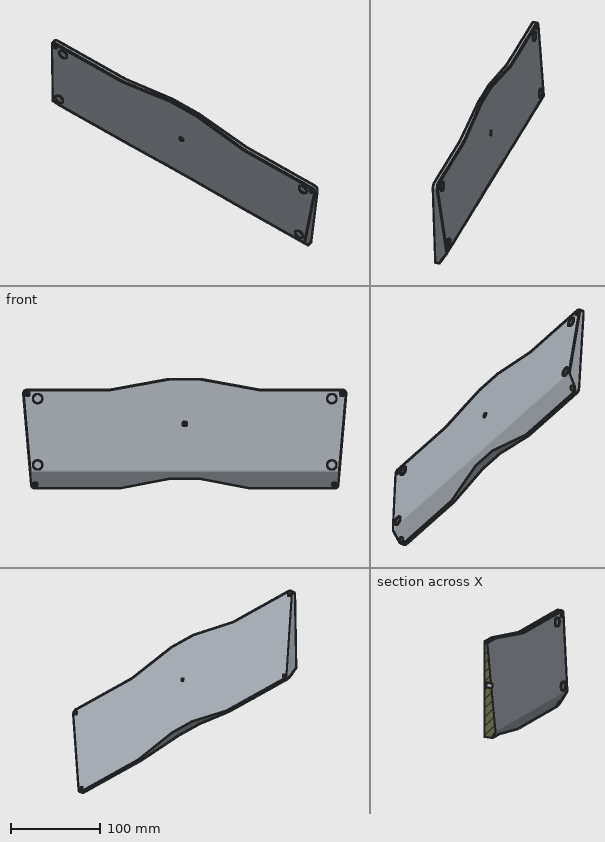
import cadquery as cq
import math

LENGTH = 362.5
DEPTH = 14.5
HEIGHT = 123.0

SIDE_TOP_Z = 111.0
SIDE_LEAN = 5.0
TOP_FLAT_HALF = 18.0
TOP_SHOULDER_X = 83.8
ARCH_HEIGHT = 11.0
ARCH_FLAT_HALF = 16.7
ARCH_FOOT_X = 73.3
CORNER_RADIUS = 5.0
SHOULDER_RADIUS = 9.0

UPPER_CORNER_ANGLE = math.radians(90 - SIDE_LEAN)
TOP_HALF_LENGTH = LENGTH / 2 + CORNER_RADIUS * (1 / math.tan(UPPER_CORNER_ANGLE / 2) - 1)
BOTTOM_HALF_LENGTH = TOP_HALF_LENGTH - SIDE_TOP_Z * math.tan(math.radians(SIDE_LEAN))

RIDGE_Z = 19.0
SHARP_RIDGE_Y = -0.07
TOP_THICKNESS = 4.0
BOTTOM_THICKNESS = 3.5
FRONT_SLOPE = (DEPTH - TOP_THICKNESS - SHARP_RIDGE_Y) / (HEIGHT - RIDGE_Z)

EDGE_BEVEL = 0.8

FOOT_DIAMETER = 10.5
FOOT_RECESS = 0.7
FOOT_X = 165.0
FOOT_Z = (26.5, 101.0)

SCREW_DIAMETER = 3.0
HEAD_DIAMETER = 5.0
HEAD_SEAT = 1.8
UPPER_SCREWS = (176.5, 106.3)
LOWER_SCREWS = (168.0, 4.5)
CENTRE_SCREW_Z = 72.5
OVERRUN = 3.5


def round_edges_along_y(plate, points, radius):
    """Fillet the plate's Y edges that stand at the given (x, z) points."""
    for x, z in points:
        plate = plate.edges(cq.NearestToPointSelector((x, DEPTH / 2, z))).fillet(radius)
    return plate


def outline_body():
    """Plate with the keyboard outline, extruded through the whole depth."""
    right = [
        (ARCH_FLAT_HALF, ARCH_HEIGHT),
        (ARCH_FOOT_X, 0),
        (BOTTOM_HALF_LENGTH, 0),
        (TOP_HALF_LENGTH, SIDE_TOP_Z),
        (TOP_SHOULDER_X, SIDE_TOP_Z),
        (TOP_FLAT_HALF, HEIGHT),
    ]
    left = [(-x, z) for x, z in reversed(right)]
    start = cq.Workplane("XZ", origin=(0, SHARP_RIDGE_Y, 0))
    plate = start.polyline(right + left).close().extrude(SHARP_RIDGE_Y - DEPTH)
    corner_points = [
        (side * x, z)
        for side in (-1, 1)
        for x, z in ((BOTTOM_HALF_LENGTH, 0), (TOP_HALF_LENGTH, SIDE_TOP_Z))
    ]
    shoulder_points = [(side * TOP_SHOULDER_X, SIDE_TOP_Z) for side in (-1, 1)]
    plate = round_edges_along_y(plate, corner_points, CORNER_RADIUS)
    return round_edges_along_y(plate, shoulder_points, SHOULDER_RADIUS)


def wedge():
    """Section that thins from the ridge towards the top and bottom edges."""
    section = [
        (DEPTH, 0),
        (DEPTH - BOTTOM_THICKNESS, 0),
        (SHARP_RIDGE_Y, RIDGE_Z),
        (DEPTH - TOP_THICKNESS, HEIGHT),
        (DEPTH, HEIGHT),
    ]
    return cq.Workplane("YZ").polyline(section).close().extrude(LENGTH, both=True)


def front_y(z):
    """Y of the sloped front face at height z."""
    return SHARP_RIDGE_Y + FRONT_SLOPE * (z - RIDGE_Z)


def cylinder_along_y(x, z, diameter, start_y, end_y):
    """Round cutter from start_y to end_y, centred at (x, z)."""
    disc = cq.Workplane("XZ", origin=(x, start_y, z)).circle(diameter / 2)
    return disc.extrude(start_y - end_y)


def foot_recess(x, z):
    """Shallow cylinder sunk at right angles into the sloped front face."""
    plane = cq.Plane(origin=(x, front_y(z), z), xDir=(1, 0, 0), normal=(0, 1, -FRONT_SLOPE))
    return cq.Workplane(plane).circle(FOOT_DIAMETER / 2).extrude(FOOT_RECESS, both=True)


def screw_hole(x, z):
    """Through hole with a counterbore open to the front."""
    shank = cylinder_along_y(x, z, SCREW_DIAMETER, -OVERRUN, DEPTH + OVERRUN)
    head = cylinder_along_y(x, z, HEAD_DIAMETER, -OVERRUN, DEPTH - HEAD_SEAT)
    return shank.union(head)


def bevel_front_face(body):
    """Bevel the rim of the front face, including the ridge."""
    middle_z = HEIGHT / 2
    front_face = body.faces(cq.NearestToPointSelector((0, front_y(middle_z), middle_z)))
    return front_face.edges().chamfer(EDGE_BEVEL)


result = bevel_front_face(outline_body().intersect(wedge()))

for side in (-1, 1):
    for foot_z in FOOT_Z:
        result = result.cut(foot_recess(side * FOOT_X, foot_z))
    for screw_x, screw_z in (UPPER_SCREWS, LOWER_SCREWS):
        result = result.cut(screw_hole(side * screw_x, screw_z))
result = result.cut(screw_hole(0, CENTRE_SCREW_Z))